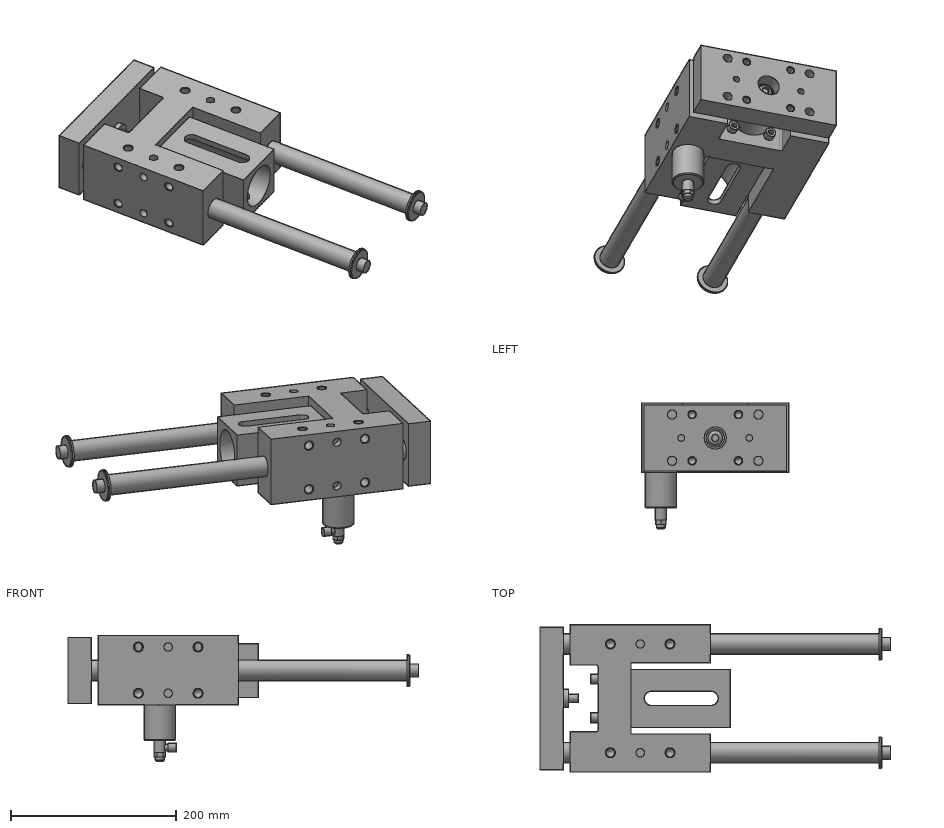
import cadquery as cq
import math

AXIS_Z = -0.5

HOUSING_START = 36.5
HOUSING_LENGTH = 169.5
HOUSING_WIDTH = 178.0
HOUSING_HEIGHT = 84.0
HOUSING_END = HOUSING_START + HOUSING_LENGTH
HOUSING_MIDDLE = HOUSING_START + HOUSING_LENGTH / 2
HOUSING_BOTTOM = -HOUSING_HEIGHT / 2

WEB_START = 70.5
WEB_END = 110.2
FRONT_NOTCH_WIDTH = 80.5
FRONT_NOTCH_FILLET = 2.5
REAR_NOTCH_WIDTH = 85.5
PISTON_BORE_DIAMETER = 53.0

BLOCK_END = 230.2
BLOCK_LENGTH = BLOCK_END - WEB_END
BLOCK_WIDTH = 70.5
BLOCK_HEIGHT = 65.5
SLOT_LENGTH = 89.0
SLOT_WIDTH = 17.0
SLOT_CENTER_X = 171.0

SCREW_HEAD_DIAMETER = 12.5
SCREW_HEAD_LENGTH = 9.0
SCREW_SPACING = 46.5
SCREW_SOCKET_DIAMETER = 6.5
SCREW_SOCKET_DEPTH = 5.0

MOUNT_SPACING_X = 72.0
MOUNT_ROW_Z = 28.0
MOUNT_DIAMETER = 10.0
MOUNT_RIM_DIAMETER = 12.0
MOUNT_DEPTH = 20.0
PIN_DIAMETER = 10.0
PIN_DEPTH = 10.0
DRILL_POINT_ANGLE = 118.0

SENSOR_X = 111.0
SENSOR_Y = 65.7
SENSOR_DIAMETER = 38.0
SENSOR_LENGTH = 43.2
SENSOR_CHAMFER = 1.3
STEM_DIAMETER = 14.0
STEM_LENGTH = 14.5
COLLAR_CORNER_DIAMETER = 14.5
COLLAR_LENGTH = 5.0
TIP_DIAMETER = 11.0
TIP_LENGTH = 5.5
TIP_CHAMFER = 1.5
PORT_DROP = 51.7
PORT_NECK_DIAMETER = 8.5
PORT_HEAD_DIAMETER = 11.0
PORT_HEAD_START = 10.0
PORT_REACH = 20.0

PLATE_THICKNESS = 28.5
PLATE_WIDTH = 172.5
PLATE_HEIGHT = 80.0
PLATE_MOUNT_DIAMETER = 8.5
PLATE_MOUNT_RIM_DIAMETER = 10.0
PLATE_MOUNT_SPACING_Y = 2 * MOUNT_ROW_Z
PLATE_MOUNT_DEPTH = 20.0
PLATE_BOLT_DIAMETER = 11.0
PLATE_BOLT_SPACING_Y = 104.5
PLATE_BOLT_DEPTH = 20.0
PLATE_PIN_DIAMETER = 8.0
PLATE_PIN_SPACING_Y = 82.3
PLATE_PIN_DEPTH = 12.7
RECESS_DIAMETER = 26.5
RECESS_DEPTH = 17.5

BOLT_WASHER_DIAMETER = 22.0
BOLT_WASHER_THICKNESS = 1.5
BOLT_HEAD_DIAMETER = 18.0
BOLT_HEAD_HEIGHT = 5.0
BOLT_DOME_RADIUS = 4.2
BOLT_SOCKET_DIAMETER = 8.5
BOLT_SOCKET_DEPTH = 3.5
BOLT_FLANGE_DIAMETER = 22.5
BOLT_FLANGE_LENGTH = 6.5
BOLT_END_DIAMETER = 10.0
BOLT_END_LENGTH = 12.0

ROD_DIAMETER = 25.0
ROD_SPACING = 131.5
SLIDE_LENGTH = 424.0
STUB_DIAMETER = 16.0
STUB_LENGTH = 10.0
WASHER_DIAMETER = 38.0
WASHER_THICKNESS = 2.0
NUT_DIAMETER = 37.0
NUT_THICKNESS = 1.5
STUB_START = SLIDE_LENGTH - STUB_LENGTH
NUT_START = STUB_START - NUT_THICKNESS
WASHER_START = NUT_START - WASHER_THICKNESS


def rod_along_x(start, length, diameter, y=0.0, z=AXIS_Z):
    """A round bar along +X from the given start."""
    return cq.Workplane("YZ", origin=(start, y, z)).circle(diameter / 2).extrude(length)


def box_along_x(start, length, width, height, z):
    """A box centred on Y = 0 that begins at the given X."""
    return cq.Workplane("XY", origin=(start, 0, z)).box(length, width, height, centered=(False, True, True))


def pointed_hole(origin, normal, diameter, depth, rim_diameter):
    """Cutter for a drilled hole with a chamfered rim and a conical end; normal points out of the face."""
    radius = diameter / 2
    rim_radius = rim_diameter / 2
    rim_depth = rim_radius - radius
    point_length = radius / math.tan(math.radians(DRILL_POINT_ANGLE / 2))
    profile = [
        (0, 0),
        (rim_radius, 0),
        (radius, -rim_depth),
        (radius, -depth),
        (0, -depth - point_length),
    ]
    cutter = cq.Workplane("XZ").polyline(profile).close().revolve(360, (0, 0, 0), (0, 1, 0))
    face = cq.Plane(origin=origin, normal=normal)
    return cq.Workplane(cutter.val().moved(face.location))


def flat_hole(origin, normal, diameter, depth):
    """Cutter for a flat-bottomed hole; normal points out of the face."""
    face = cq.Plane(origin=origin, normal=normal)
    return cq.Workplane(face).circle(diameter / 2).extrude(-depth)


def cut_mounting_row(solid, center, normal):
    """Two drilled holes with a pin hole midway between them, in a row along X."""
    x, y, z = center
    for side in (-1, 1):
        origin = (x + side * MOUNT_SPACING_X / 2, y, z)
        solid = solid.cut(pointed_hole(origin, normal, MOUNT_DIAMETER, MOUNT_DEPTH, MOUNT_RIM_DIAMETER))
    return solid.cut(flat_hole(center, normal, PIN_DIAMETER, PIN_DEPTH))


def make_housing_block():
    """H-shaped block: two arms joined by the web."""
    block = box_along_x(HOUSING_START, HOUSING_LENGTH, HOUSING_WIDTH, HOUSING_HEIGHT, 0)
    front_notch = box_along_x(
        HOUSING_START, WEB_START - HOUSING_START, FRONT_NOTCH_WIDTH, HOUSING_HEIGHT, 0
    )
    front_notch = front_notch.edges("|Z and >X").fillet(FRONT_NOTCH_FILLET)
    rear_notch = box_along_x(WEB_END, HOUSING_END - WEB_END, REAR_NOTCH_WIDTH, HOUSING_HEIGHT, 0)
    return block.cut(front_notch).cut(rear_notch)


def make_slotted_block():
    """Block behind the web with a vertical slot through it."""
    block = box_along_x(WEB_END, BLOCK_LENGTH, BLOCK_WIDTH, BLOCK_HEIGHT, AXIS_Z)
    slot = (
        cq.Workplane("XY", origin=(SLOT_CENTER_X, 0, HOUSING_BOTTOM))
        .slot2D(SLOT_LENGTH, SLOT_WIDTH)
        .extrude(HOUSING_HEIGHT)
    )
    return block.cut(slot)


def make_web_screw(y, z):
    """Head of a socket screw standing on the front of the web."""
    start = WEB_START - SCREW_HEAD_LENGTH
    head = rod_along_x(start, SCREW_HEAD_LENGTH, SCREW_HEAD_DIAMETER, y, z)
    return head.cut(rod_along_x(start, SCREW_SOCKET_DEPTH, SCREW_SOCKET_DIAMETER, y, z))


def make_sensor():
    """Stepped vertical cylinder with a hexagonal collar and a side port toward +X."""
    body = (
        cq.Workplane("XY", origin=(SENSOR_X, SENSOR_Y, HOUSING_BOTTOM))
        .circle(SENSOR_DIAMETER / 2)
        .extrude(-SENSOR_LENGTH)
        .faces("<Z")
        .chamfer(SENSOR_CHAMFER)
    )
    body = body.faces("<Z").workplane().circle(STEM_DIAMETER / 2).extrude(STEM_LENGTH)
    body = body.faces("<Z").workplane().polygon(6, COLLAR_CORNER_DIAMETER).extrude(COLLAR_LENGTH)
    body = body.faces("<Z").workplane().circle(TIP_DIAMETER / 2).extrude(TIP_LENGTH)
    body = body.faces("<Z").chamfer(TIP_CHAMFER)
    port_z = HOUSING_BOTTOM - PORT_DROP
    neck = rod_along_x(SENSOR_X, PORT_HEAD_START, PORT_NECK_DIAMETER, SENSOR_Y, port_z)
    head_length = PORT_REACH - PORT_HEAD_START
    head = rod_along_x(SENSOR_X + PORT_HEAD_START, head_length, PORT_HEAD_DIAMETER, SENSOR_Y, port_z)
    return body.union(neck).union(head)


def make_housing():
    """Fixed body: housing, slotted block, web screws and sensor."""
    housing = make_housing_block().union(make_slotted_block())
    housing = housing.cut(rod_along_x(WEB_START, BLOCK_END - WEB_START, PISTON_BORE_DIAMETER))
    for side in (-1, 1):
        rod_y = side * ROD_SPACING / 2
        housing = housing.cut(rod_along_x(HOUSING_START, HOUSING_LENGTH, ROD_DIAMETER, rod_y))
        housing = cut_mounting_row(housing, (HOUSING_MIDDLE, rod_y, HOUSING_HEIGHT / 2), (0, 0, 1))
        for z in (-MOUNT_ROW_Z, MOUNT_ROW_Z):
            face_center = (HOUSING_MIDDLE, side * HOUSING_WIDTH / 2, z)
            housing = cut_mounting_row(housing, face_center, (0, side, 0))
        for z in (-SCREW_SPACING / 2, SCREW_SPACING / 2):
            housing = housing.union(make_web_screw(side * SCREW_SPACING / 2, AXIS_Z + z))
    return housing.union(make_sensor())


def make_tool_plate():
    """Front plate with its bolt, pin and mounting holes and the central recess."""
    plate = box_along_x(0, PLATE_THICKNESS, PLATE_WIDTH, PLATE_HEIGHT, AXIS_Z)
    outward = (-1, 0, 0)
    for side in (-1, 1):
        pin = (0, side * PLATE_PIN_SPACING_Y / 2, AXIS_Z)
        plate = plate.cut(flat_hole(pin, outward, PLATE_PIN_DIAMETER, PLATE_PIN_DEPTH))
        for z in (-MOUNT_ROW_Z, MOUNT_ROW_Z):
            bolt = (0, side * PLATE_BOLT_SPACING_Y / 2, z)
            plate = plate.cut(flat_hole(bolt, outward, PLATE_BOLT_DIAMETER, PLATE_BOLT_DEPTH))
            mount = (0, side * PLATE_MOUNT_SPACING_Y / 2, z)
            plate = plate.cut(
                pointed_hole(
                    mount, outward, PLATE_MOUNT_DIAMETER, PLATE_MOUNT_DEPTH, PLATE_MOUNT_RIM_DIAMETER
                )
            )
    return plate.cut(rod_along_x(0, RECESS_DEPTH, RECESS_DIAMETER))


def make_coupling_bolt():
    """Washer with the domed bolt head in the recess, and the flange and end behind the plate."""
    washer_start = RECESS_DEPTH - BOLT_WASHER_THICKNESS
    washer = rod_along_x(washer_start, BOLT_WASHER_THICKNESS, BOLT_WASHER_DIAMETER)
    head_start = washer_start - BOLT_HEAD_HEIGHT
    head = rod_along_x(head_start, BOLT_HEAD_HEIGHT, BOLT_HEAD_DIAMETER)
    head = head.faces("<X").edges().fillet(BOLT_DOME_RADIUS)
    head = head.cut(rod_along_x(head_start, BOLT_SOCKET_DEPTH, BOLT_SOCKET_DIAMETER))
    flange = rod_along_x(PLATE_THICKNESS, BOLT_FLANGE_LENGTH, BOLT_FLANGE_DIAMETER)
    end = rod_along_x(PLATE_THICKNESS + BOLT_FLANGE_LENGTH, BOLT_END_LENGTH, BOLT_END_DIAMETER)
    return washer.union(head), flange.union(end)


def make_guide_rod(y):
    """Guide rod with the washer, nut and stub on its far end."""
    rod = rod_along_x(PLATE_THICKNESS, WASHER_START - PLATE_THICKNESS, ROD_DIAMETER, y)
    rod = rod.union(rod_along_x(WASHER_START, WASHER_THICKNESS, WASHER_DIAMETER, y))
    rod = rod.union(rod_along_x(NUT_START, NUT_THICKNESS, NUT_DIAMETER, y))
    return rod.union(rod_along_x(STUB_START, STUB_LENGTH, STUB_DIAMETER, y))


def make_slide():
    """Moving body: tool plate, coupling bolt and both guide rods."""
    slide = make_tool_plate()
    for piece in make_coupling_bolt():
        slide = slide.union(piece)
    for side in (-1, 1):
        slide = slide.union(make_guide_rod(side * ROD_SPACING / 2))
    return slide


housing = make_housing()
slide = make_slide()
result = cq.Compound.makeCompound([housing.val(), slide.val()])